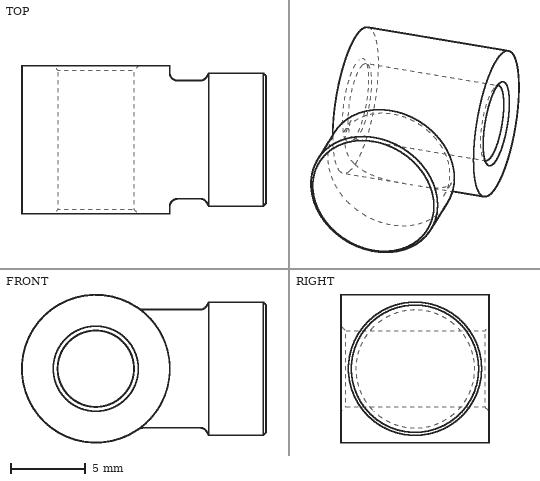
import math

import cadquery as cq

barrel_diameter = 10.0
barrel_length = 10.0
bore_diameter = 5.15
bore_chamfer = 0.3

neck_diameter = 8.0
collar_diameter = 9.0
collar_length = 3.87
stem_end_x = 11.5
collar_end_chamfer = 0.2

barrel_fillet = 0.5
shoulder_fillet = 0.5
shoulder_angle = math.radians(60)

barrel_radius = barrel_diameter / 2
bore_radius = bore_diameter / 2
neck_radius = neck_diameter / 2
collar_radius = collar_diameter / 2
collar_start_x = stem_end_x - collar_length

cone_start_radius = neck_radius + shoulder_fillet * (1 - math.cos(shoulder_angle))
cone_start_x = collar_start_x - (collar_radius - cone_start_radius) / math.tan(shoulder_angle)
neck_end_x = cone_start_x - shoulder_fillet * math.sin(shoulder_angle)

selection_margin = 0.1


def make_cylinder_along_y(radius):
    """Cylinder as long as the barrel, centred on the origin."""
    return cq.Workplane("XZ").circle(radius).extrude(barrel_length / 2, both=True)


def make_neck():
    """Plain cylinder from the barrel axis to the start of the shoulder."""
    return cq.Workplane("YZ").circle(neck_radius).extrude(neck_end_x)


def fillet_neck_into_barrel(body):
    """Round the saddle-shaped edge where the neck meets the barrel."""
    reach = neck_radius + selection_margin
    saddle_edge = cq.selectors.BoxSelector(
        (selection_margin, -reach, -reach),
        (barrel_radius + selection_margin, reach, reach),
        boundingbox=True,
    )
    return body.edges(saddle_edge).fillet(barrel_fillet)


def make_collar():
    """Collar revolved about X, with its shoulder at the neck and a chamfer at the free end."""
    half_angle = shoulder_angle / 2
    arc_middle_x = neck_end_x + shoulder_fillet * math.sin(half_angle)
    arc_middle_radius = neck_radius + shoulder_fillet * (1 - math.cos(half_angle))
    profile = (
        cq.Workplane("XY")
        .moveTo(neck_end_x, 0)
        .lineTo(neck_end_x, neck_radius)
        .threePointArc((arc_middle_x, arc_middle_radius), (cone_start_x, cone_start_radius))
        .lineTo(collar_start_x, collar_radius)
        .lineTo(stem_end_x - collar_end_chamfer, collar_radius)
        .lineTo(stem_end_x, collar_radius - collar_end_chamfer)
        .lineTo(stem_end_x, 0)
        .close()
    )
    return profile.revolve(360, (0, 0, 0), (1, 0, 0))


def make_bore():
    """Through bore along Y with a conical chamfer at both mouths."""
    bore = make_cylinder_along_y(bore_radius)
    for side in (-1, 1):
        mouth_center = cq.Vector(0, side * barrel_length / 2, 0)
        inward = cq.Vector(0, -side, 0)
        mouth = cq.Solid.makeCone(bore_radius + bore_chamfer, bore_radius, bore_chamfer, mouth_center, inward)
        bore = bore.union(cq.Workplane(obj=mouth))
    return bore


body = make_cylinder_along_y(barrel_radius).union(make_neck())
body = fillet_neck_into_barrel(body)
body = body.union(make_collar())
result = body.cut(make_bore())